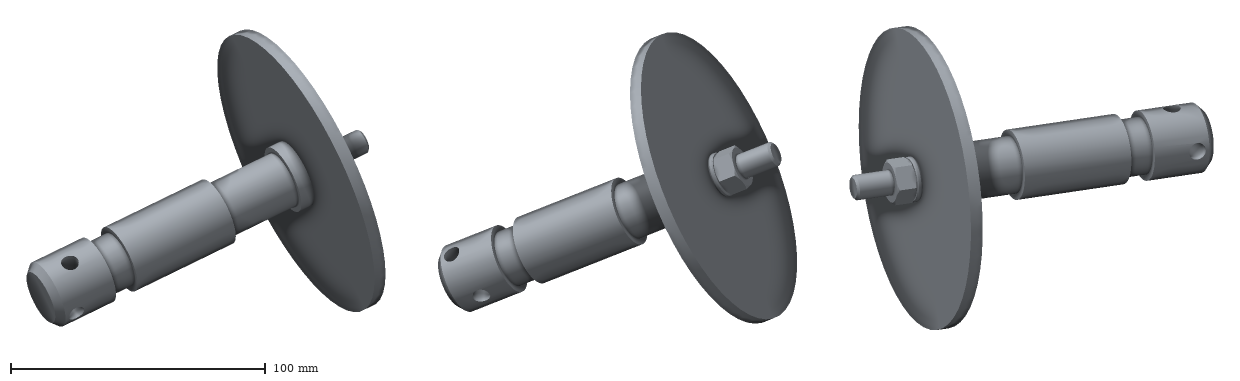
import cadquery as cq
import math


total_length = 148.0
head_length = 26.0
neck_end = 36.0
sleeve_end = 81.0
collar_start = 111.0
plate_start = 116.9

body_diameter = 28.0
shank_diameter = 23.0
stud_diameter = 10.0

tip_chamfer_length = 3.0
tip_chamfer_depth = 3.0
stud_chamfer = 0.9

cross_hole_diameter = 7.0
side_hole_position = 8.0
top_hole_position = 13.3

plate_diameter = 120.0
plate_thickness = 5.0

washer_diameter = 18.0
washer_thickness = 2.2
plate_side_bevel_length = 0.7
nut_side_bevel_length = 0.5
washer_bevel_depth = 0.5

nut_across_flats = 16.0
nut_thickness = 8.5
nut_bevel_angle = 30.0

body_radius = body_diameter / 2
shank_radius = shank_diameter / 2
stud_radius = stud_diameter / 2
plate_radius = plate_diameter / 2
washer_radius = washer_diameter / 2
flats_to_corner_angle = math.radians(30)
nut_face_radius = nut_across_flats / 2
nut_corner_radius = nut_face_radius / math.cos(flats_to_corner_angle)
washer_start = plate_start + plate_thickness
nut_start = washer_start + washer_thickness


def revolve_about_y(points):
    """Revolve a closed (radius, Y) outline once around the Y axis."""
    return cq.Workplane("XY").polyline(points).close().revolve(360, (0, 0, 0), (0, 1, 0))


def cylinder_along_y(radius, start, length):
    """Solid cylinder on the Y axis, from start towards +Y."""
    return cq.Workplane("XZ", origin=(0, start, 0)).circle(radius).extrude(-length)


def stud_bore(start, length):
    """Cutter for the hole that the stud passes through."""
    return cylinder_along_y(stud_radius, start, length)


def make_pin():
    """Stepped pin with a chamfered head, a sleeve, a collar and a stud."""
    turned = revolve_about_y([
        (0, 0),
        (body_radius - tip_chamfer_depth, 0),
        (body_radius, tip_chamfer_length),
        (body_radius, head_length),
        (shank_radius, head_length),
        (shank_radius, neck_end),
        (body_radius, neck_end),
        (body_radius, sleeve_end),
        (shank_radius, sleeve_end),
        (shank_radius, collar_start),
        (body_radius, collar_start),
        (body_radius, plate_start),
        (stud_radius, plate_start),
        (stud_radius, total_length - stud_chamfer),
        (stud_radius - stud_chamfer, total_length),
        (0, total_length),
    ])
    hole_radius = cross_hole_diameter / 2
    side_hole = (
        cq.Workplane("YZ").center(side_hole_position, 0).circle(hole_radius).extrude(body_diameter, both=True)
    )
    top_hole = (
        cq.Workplane("XY").center(0, top_hole_position).circle(hole_radius).extrude(body_diameter, both=True)
    )
    return turned.cut(side_hole).cut(top_hole)


def make_plate():
    """Round plate seated against the collar."""
    disc = cylinder_along_y(plate_radius, plate_start, plate_thickness)
    return disc.cut(stud_bore(plate_start, plate_thickness))


def make_washer():
    """Washer with both outer edges bevelled, more gently on the plate side."""
    return revolve_about_y([
        (stud_radius, washer_start),
        (washer_radius - washer_bevel_depth, washer_start),
        (washer_radius, washer_start + plate_side_bevel_length),
        (washer_radius, nut_start - nut_side_bevel_length),
        (washer_radius - washer_bevel_depth, nut_start),
        (stud_radius, nut_start),
    ])


def make_nut():
    """Hexagonal nut, two corners on the X axis, corners bevelled at both ends."""
    hexagon = (
        cq.Workplane("XZ", origin=(0, nut_start, 0)).polygon(6, 2 * nut_corner_radius).extrude(-nut_thickness)
    )
    nut_end = nut_start + nut_thickness
    bevel_length = (nut_corner_radius - nut_face_radius) * math.tan(math.radians(nut_bevel_angle))
    envelope = revolve_about_y([
        (0, nut_start),
        (nut_face_radius, nut_start),
        (nut_corner_radius, nut_start + bevel_length),
        (nut_corner_radius, nut_end - bevel_length),
        (nut_face_radius, nut_end),
        (0, nut_end),
    ])
    return hexagon.intersect(envelope).cut(stud_bore(nut_start, nut_thickness))


pin = make_pin()
plate = make_plate()
washer = make_washer()
nut = make_nut()

result = cq.Compound.makeCompound([pin.val(), plate.val(), washer.val(), nut.val()])